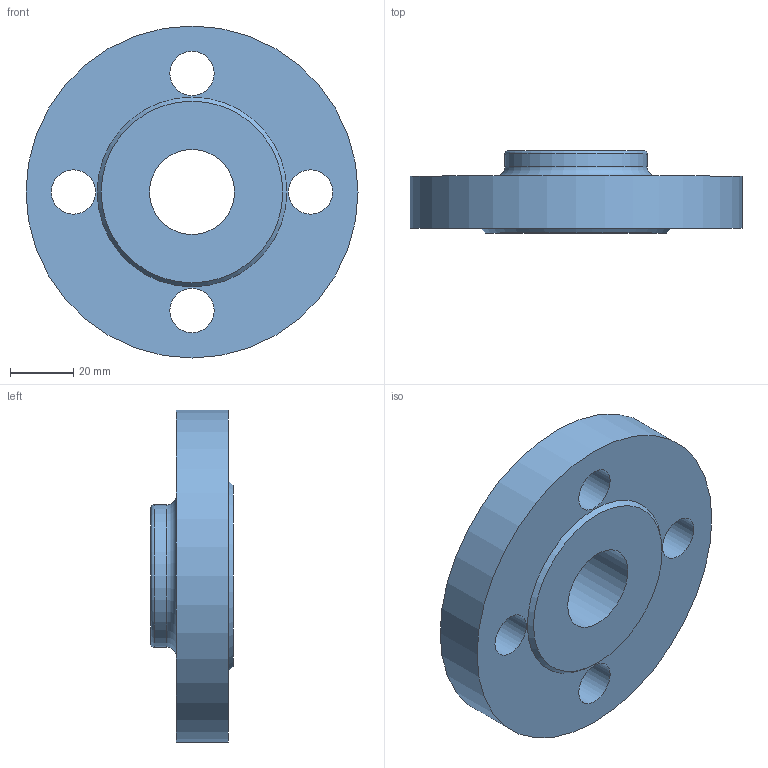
import cadquery as cq
import math

flange_diameter = 105.0
overall_length = 26.0
bore_diameter = 26.9

face_base_diameter = 60.0
face_height = 1.5
face_edge_angle = 40.0

hub_diameter = 45.0
hub_height = 8.0
hub_edge_radius = 1.0
hub_root_radius = 3.0

bolt_count = 4
bolt_hole_diameter = 14.0
bolt_circle_diameter = 75.0

face_y = -face_height
hub_end_y = overall_length - face_height
flange_back_y = hub_end_y - hub_height


def make_body():
    """Revolve the half section about the Y axis, leaving the bore open."""
    bore_radius = bore_diameter / 2
    flange_radius = flange_diameter / 2
    hub_radius = hub_diameter / 2
    face_base_radius = face_base_diameter / 2
    face_radius = face_base_radius - face_height * math.tan(math.radians(face_edge_angle))
    section = (
        cq.Workplane("XY")
        .moveTo(bore_radius, face_y)
        .lineTo(face_radius, face_y)
        .lineTo(face_base_radius, 0)
        .lineTo(flange_radius, 0)
        .lineTo(flange_radius, flange_back_y)
        .lineTo(hub_radius + hub_root_radius, flange_back_y)
        .radiusArc((hub_radius, flange_back_y + hub_root_radius), hub_root_radius)
        .lineTo(hub_radius, hub_end_y - hub_edge_radius)
        .radiusArc((hub_radius - hub_edge_radius, hub_end_y), -hub_edge_radius)
        .lineTo(bore_radius, hub_end_y)
        .close()
    )
    return section.revolve(360, (0, 0, 0), (0, 1, 0))


def make_bolt_holes():
    """Cylinders through the flange, spaced evenly on the bolt circle."""
    return (
        cq.Workplane("XZ", origin=(0, hub_end_y, 0))
        .polarArray(bolt_circle_diameter / 2, 0, 360, bolt_count)
        .circle(bolt_hole_diameter / 2)
        .extrude(overall_length)
    )


result = make_body().cut(make_bolt_holes())